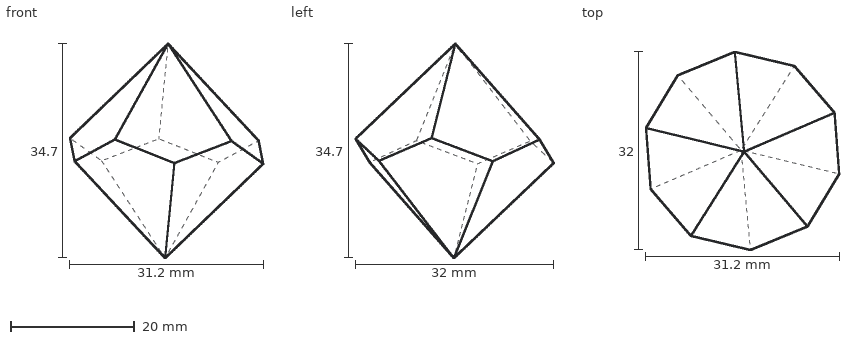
import cadquery as cq
import math

OVERALL_HEIGHT = 34.65
BELT_RADIUS = 16.07
SIDES_PER_TIP = 5
BELT_TURN = -13.4
TILT_ABOUT_Y = 0.8
TILT_ABOUT_X = 0.4

belt_count = 2 * SIDES_PER_TIP
belt_step = 360.0 / belt_count

tilt_shortening = math.cos(math.radians(TILT_ABOUT_X)) * math.cos(math.radians(TILT_ABOUT_Y))
tip_distance = OVERALL_HEIGHT / 2 / tilt_shortening

step_cosine = math.cos(math.radians(belt_step))
belt_rise = tip_distance * (1 - step_cosine) / (1 + step_cosine)

upper_tip = cq.Vector(0, 0, tip_distance)
lower_tip = cq.Vector(0, 0, -tip_distance)


def belt_corner(index):
    """Corner of the zigzag belt: even corners are low, odd corners are high."""
    angle = math.radians(BELT_TURN + index * belt_step)
    height = belt_rise if index % 2 else -belt_rise
    return cq.Vector(BELT_RADIUS * math.cos(angle), BELT_RADIUS * math.sin(angle), height)


def kite_face(middle_index):
    """Kite from a tip to the belt corner on the other side of the middle."""
    tip = lower_tip if middle_index % 2 else upper_tip
    belt = [belt_corner(middle_index + offset) for offset in (-1, 0, 1)]
    outline = cq.Wire.makePolygon([tip] + belt, close=True)
    return cq.Face.makeFromWires(outline)


kites = [kite_face(index) for index in range(belt_count)]
die = cq.Solid.makeSolid(cq.Shell.makeShell(kites))

result = (
    cq.Workplane(obj=die)
    .rotate((0, 0, 0), (0, 1, 0), TILT_ABOUT_Y)
    .rotate((0, 0, 0), (1, 0, 0), TILT_ABOUT_X)
)